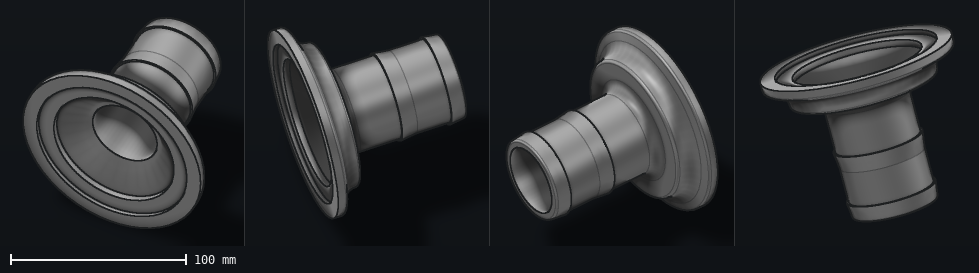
import cadquery as cq
import math

overall_length = 90.42
flange_radius = 112.78 / 2
tube_radius = 50.04 / 2
bore_radius = 40.89 / 2

rim_side_height = 4.6
rim_fillet = 1.5
rim_slope_angle = 18.0
flare_base_radius = 50.5
flare_top_radius = 43.4
flare_top_height = 17.4

shoulder_height = 19.05
shoulder_edge_fillet = 1.78
tube_fillet = 6.35

barb_length = 9.65
barb_rise = 1.2
inner_barb_height = 50.6
tip_fillet = 1.3

recess_radius = 95.25 / 2
recess_depth = 2.7
mouth_radius = 76.2 / 2
mouth_end_depth = 6.6
funnel_end_depth = 16.9


def make_flange():
    """Turned flange, flare, shoulder and the fillet up to the tube."""
    slope = math.radians(rim_slope_angle)
    rim_end_radius = flange_radius - rim_fillet * (1 - math.sin(slope))
    rim_end_height = rim_side_height + rim_fillet * math.cos(slope)
    flare_base_height = rim_end_height + (rim_end_radius - flare_base_radius) * math.tan(slope)
    shoulder_flat_radius = flare_top_radius - shoulder_edge_fillet
    outline = (
        cq.Workplane("XY")
        .lineTo(flange_radius, 0)
        .lineTo(flange_radius, rim_side_height)
        .tangentArcPoint((rim_end_radius, rim_end_height), relative=False)
        .lineTo(flare_base_radius, flare_base_height)
        .tangentArcPoint((flare_top_radius, flare_top_height), relative=False)
        .radiusArc((shoulder_flat_radius, shoulder_height), -shoulder_edge_fillet)
        .lineTo(tube_radius + tube_fillet, shoulder_height)
        .radiusArc((tube_radius, shoulder_height + tube_fillet), tube_fillet)
        .lineTo(0, shoulder_height + tube_fillet)
        .close()
    )
    return outline.revolve(360, (0, 0), (0, 1))


def make_tube():
    return cq.Workplane("XZ").circle(tube_radius).extrude(-overall_length)


def make_barb(base_height):
    """Tapered ring, widest at base_height and flush with the tube at its far end."""
    outline = (
        cq.Workplane("XY")
        .moveTo(0, base_height)
        .lineTo(tube_radius + barb_rise, base_height)
        .lineTo(tube_radius, base_height + barb_length)
        .lineTo(0, base_height + barb_length)
        .close()
    )
    return outline.revolve(360, (0, 0), (0, 1))


def make_opening():
    """Recess, straight mouth, funnel and through bore."""
    outline = (
        cq.Workplane("XY")
        .lineTo(recess_radius, 0)
        .lineTo(recess_radius, recess_depth)
        .lineTo(mouth_radius, recess_depth)
        .lineTo(mouth_radius, mouth_end_depth)
        .lineTo(bore_radius, funnel_end_depth)
        .lineTo(bore_radius, overall_length)
        .lineTo(0, overall_length)
        .close()
    )
    return outline.revolve(360, (0, 0), (0, 1))


body = make_flange().union(make_tube())
for barb_height in (inner_barb_height, overall_length - barb_length):
    body = body.union(make_barb(barb_height))
body = body.faces(">Y").edges().fillet(tip_fillet)
result = body.cut(make_opening())